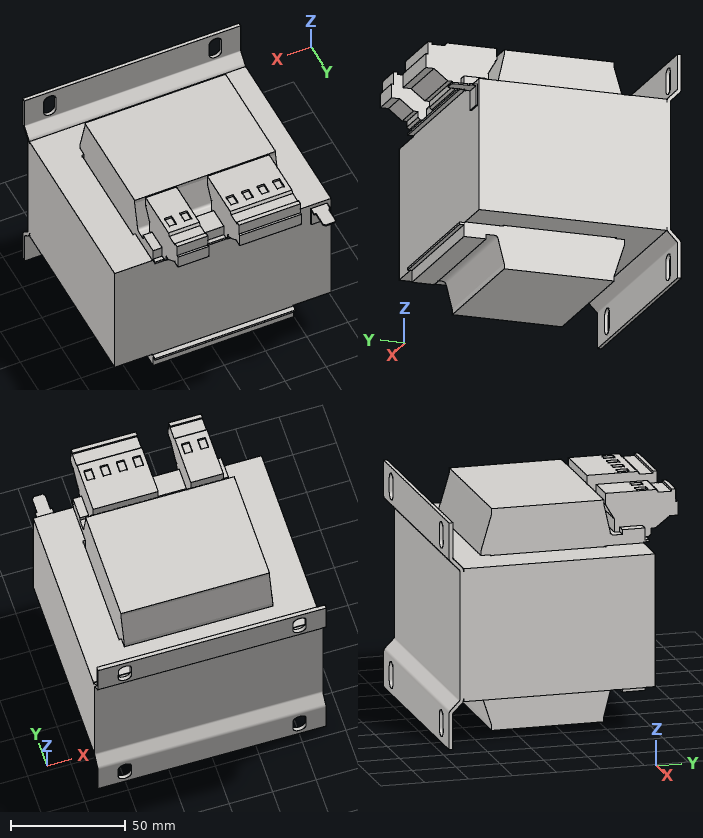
import cadquery as cq
import math


width = 105.0
core_half_height = 30.3
core_back = 94.0

bracket_half_height = 51.7
sheet = 1.8
bracket_step = 5.0
bend_angle = 45
flange_bend_z = 34.6
flange_bend_radius = 0.8
panel_bend_radius = 1.5
slot_width = 6.0
slot_length = 12.0
slot_x = 40.1
slot_z = 42.9

coil_width = 68.3
window_gap = 1.1
window_front = 24.1
window_back = 76.4
coil_top = 51.2
coil_bottom = 49.9
coil_rim = 2.2
coil_foot = 2.2
coil_front = 19.9
coil_top_front = 24.7
coil_top_back = 75.9
groove_front = 79.1
groove_floor_z = 34.9
groove_radius = 1.7
rail_front = 84.3
rail_back = 94.6
rail_z = 37.0
lip_back = 96.6
lip_bottom = 30.6
lip_top = 31.6

block_width = 15.0
first_block_x = -22.6
block_places = (0, 1, 3)
block_top = 52.9
block_front = 77.9
block_back = 110.9
block_taper_top = 47.7
block_taper_bottom = 40.9
neck_front = 81.8
foot_back = 98.6
foot_top = 35.4
foot_bevel = 1.1
underside_front = 100.7
underside_back = 107.1
entry_bottom = 40.4
ledge_z = 46.8
ridge_back = 109.9
ridge_front = 107.9
ridge_top = 52.6
recess_floor_z = 51.6
recess_front = 102.0
top_back = 101.1
wire_hole_width = 3.4
wire_hole_length = 5.1
wire_hole_depth = 1.1
wire_hole_pitch = 7.4
wire_hole_y = 95.2

tab_x = -46.6
tab_sheet = 0.7
tab_top = 28.2
tab_bottom = 18.5
tab_base_width = 8.0
tab_base_back = 97.6
tab_width = 6.2
tab_end = 105.7
tab_chamfer = 1.0


def extrude_across(outline, x_middle, x_width):
    """Extrude a closed Y-Z outline along X, centred on x_middle."""
    return outline.extrude(x_width / 2, both=True).translate((x_middle, 0, 0))


def box_between(x_middle, x_width, y_front, y_back, z_low, z_high):
    """Box centred on x_middle and spanning the given Y and Z ranges."""
    box = cq.Workplane("XY").box(x_width, y_back - y_front, z_high - z_low, centered=(True, False, False))
    return box.translate((x_middle, y_front, z_low))


def make_bracket():
    mitre = sheet * math.tan(math.radians(bend_angle / 2))
    panel_bend_z = flange_bend_z - bracket_step / math.tan(math.radians(bend_angle))
    front_bends = [(0, flange_bend_z), (bracket_step, panel_bend_z)]
    rear_bends = [(y + sheet, z + mitre) for y, z in front_bends]
    upper = (
        [(bracket_step, 0)] + front_bends[::-1] + [(0, bracket_half_height), (sheet, bracket_half_height)]
        + rear_bends + [(bracket_step + sheet, 0)]
    )
    half = extrude_across(cq.Workplane("YZ").polyline(upper).close(), 0, width)

    bends = [
        (front_bends[0], flange_bend_radius + sheet),
        (front_bends[1], panel_bend_radius),
        (rear_bends[0], flange_bend_radius),
        (rear_bends[1], panel_bend_radius + sheet),
    ]
    for (y, z), radius in bends:
        half = half.edges(cq.selectors.NearestToPointSelector((0, y, z))).fillet(radius)

    slots = (
        cq.Workplane("XZ")
        .pushPoints([(-slot_x, slot_z), (slot_x, slot_z)])
        .slot2D(slot_length, slot_width, 90)
        .extrude(-sheet)
    )
    half = half.cut(slots)
    return half.union(half.mirror("XY"))


def make_coil_half(top):
    """Upper half of bobbin and winding, from the core middle up to the given height."""
    outline = (
        cq.Workplane("YZ")
        .moveTo(coil_front, 0)
        .lineTo(coil_front, core_half_height + coil_foot)
        .lineTo(coil_top_front, top - coil_rim)
        .lineTo(coil_top_front, top)
        .lineTo(coil_top_back, top)
        .lineTo(coil_top_back, top - coil_rim)
        .lineTo(groove_front, groove_floor_z)
        .lineTo(rail_front, groove_floor_z)
        .lineTo(rail_front, rail_z)
        .lineTo(rail_back, rail_z)
        .lineTo(rail_back, lip_top)
        .lineTo(lip_back, lip_top)
        .lineTo(lip_back, lip_bottom)
        .lineTo(core_back, lip_bottom)
        .lineTo(core_back, 0)
        .close()
    )
    half = extrude_across(outline, 0, coil_width)
    groove_corner = cq.selectors.NearestToPointSelector((0, groove_front, groove_floor_z))
    return half.edges(groove_corner).fillet(groove_radius)


def make_window_gaps():
    gap_x = (coil_width + window_gap) / 2
    gap = box_between(gap_x, window_gap, window_front, window_back, -core_half_height, core_half_height)
    return gap.union(gap.mirror("YZ"))


def make_terminal_block(x_middle):
    outline = [
        (block_front, block_top),
        (block_front, block_taper_top),
        (neck_front, block_taper_bottom),
        (neck_front, groove_floor_z),
        (rail_back, groove_floor_z),
        (rail_back, lip_top),
        (foot_back - foot_bevel, lip_top),
        (foot_back, lip_top + foot_bevel),
        (foot_back, foot_top),
        (underside_front, foot_top),
        (underside_back, entry_bottom),
        (block_back, entry_bottom),
        (block_back, ledge_z),
        (ridge_back, ledge_z),
        (ridge_back, ridge_top),
        (ridge_front, ridge_top),
        (ridge_front, recess_floor_z),
        (recess_front, recess_floor_z),
        (top_back, block_top),
    ]
    block = extrude_across(cq.Workplane("YZ").polyline(outline).close(), x_middle, block_width)
    for side in (-1, 1):
        hole = box_between(
            x_middle + side * wire_hole_pitch / 2, wire_hole_width,
            wire_hole_y - wire_hole_length / 2, wire_hole_y + wire_hole_length / 2,
            block_top - wire_hole_depth, block_top,
        )
        block = block.cut(hole)
    return block


def make_earth_tab():
    leg = box_between(tab_x, tab_base_width, core_back, core_back + tab_sheet, tab_bottom, tab_top)
    base = box_between(tab_x, tab_base_width, core_back, tab_base_back, tab_top - tab_sheet, tab_top)
    blade = box_between(tab_x, tab_width, core_back, tab_end, tab_top - tab_sheet, tab_top)
    blade = blade.edges("|Z and >Y").chamfer(tab_chamfer)
    return leg.union(base).union(blade)


core_front = bracket_step + sheet
result = box_between(0, width, core_front, core_back, -core_half_height, core_half_height)
result = result.union(make_coil_half(coil_top))
result = result.union(make_coil_half(coil_bottom).mirror("XY"))
result = result.cut(make_window_gaps())
result = result.union(make_bracket())
for place in block_places:
    result = result.union(make_terminal_block(first_block_x + place * block_width))
result = result.union(make_earth_tab())